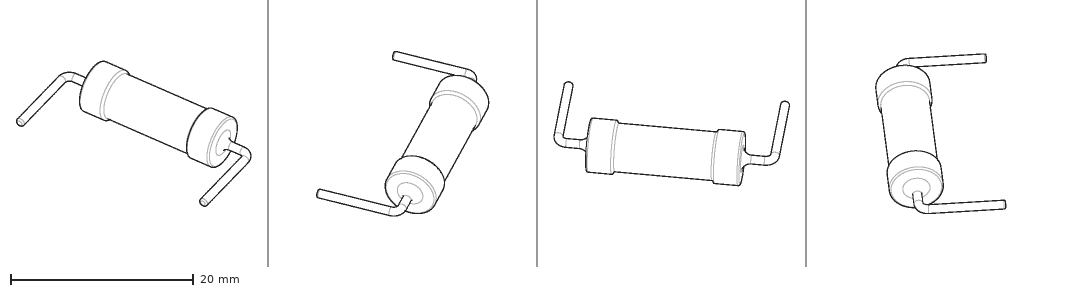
import cadquery as cq

overall_length = 25.0
lead_diameter = 1.0
lead_reach = 9.52
bend_radius = 1.0
tip_radius = 0.2

body_length = 17.0
cap_diameter = 6.0
cap_length = 3.1
cap_edge_radius = 0.2
barrel_diameter = 5.4
flare_radius = 1.0

lead_radius = lead_diameter / 2
lead_x = overall_length / 2 - lead_radius
body_end = body_length / 2

step_length = 0.3
barrel_end = body_end - cap_length


def make_end_cap():
    """+X cap with its step down to the barrel and the concave flare around the lead."""
    step_foot = (barrel_end, barrel_diameter / 2)
    step_top = (barrel_end + step_length, cap_diameter / 2)
    along_axis = (1, 0)
    flare_end = body_end + flare_radius
    return (
        cq.Workplane("XY")
        .moveTo(barrel_end, 0)
        .lineTo(*step_foot)
        .spline([step_foot, step_top], tangents=[along_axis, along_axis])
        .lineTo(body_end - cap_edge_radius, cap_diameter / 2)
        .tangentArcPoint((body_end, cap_diameter / 2 - cap_edge_radius), relative=False)
        .lineTo(body_end, lead_radius + flare_radius)
        .tangentArcPoint((flare_end, lead_radius), relative=False)
        .lineTo(flare_end, 0)
        .close()
        .revolve(360, (0, 0, 0), (1, 0, 0))
    )


def make_lead():
    """Round wire leaving the cap along +X, then bending toward -Y."""
    path = (
        cq.Workplane("XY")
        .moveTo(barrel_end, 0)
        .lineTo(lead_x - bend_radius, 0)
        .tangentArcPoint((lead_x, -bend_radius), relative=False)
        .lineTo(lead_x, -lead_reach)
    )
    wire = cq.Workplane("YZ", origin=(barrel_end, 0, 0)).circle(lead_radius).sweep(path)
    return wire.faces("<Y").edges().fillet(tip_radius)


barrel = (
    cq.Workplane("YZ", origin=(-barrel_end, 0, 0))
    .circle(barrel_diameter / 2)
    .extrude(2 * barrel_end)
)
cap_and_lead = make_end_cap().union(make_lead())
result = barrel.union(cap_and_lead).union(cap_and_lead.mirror("YZ"))